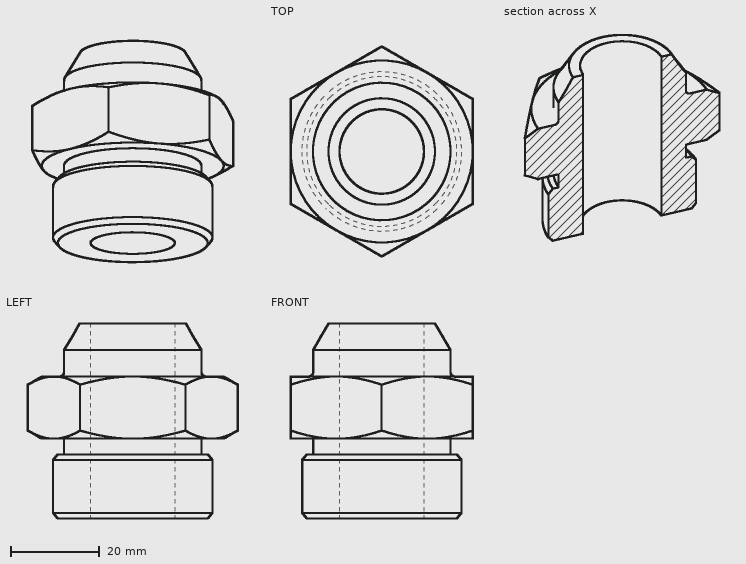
import cadquery as cq
import math

hex_corners = 47.35
bore_diameter = 19.0
neck_diameter = 31.0
thread_diameter = 36.0
tip_diameter = 24.0

thread_top = 14.5
hex_bottom = 18.0
hex_top = 32.0
cone_start = 37.95
total_height = 44.0

thread_chamfer_width = 1.1
thread_chamfer_height = 1.3
neck_fillet = 1.0
hex_chamfer_angle = 30.0

hex_flats = hex_corners * math.cos(math.radians(30))
hex_height = hex_top - hex_bottom
neck_radius = neck_diameter / 2
thread_radius = thread_diameter / 2


def chamfered_hexagon():
    """Hexagon with corners on the Y axis, both ends turned to a cone."""
    prism = (
        cq.Workplane("XY")
        .workplane(offset=hex_bottom)
        .polygon(6, hex_corners)
        .extrude(hex_height)
        .rotate((0, 0, 0), (0, 0, 1), 30)
    )
    face_radius = hex_flats / 2
    corner_radius = hex_corners / 2
    drop = (corner_radius - face_radius) * math.tan(math.radians(hex_chamfer_angle))
    turned_envelope = (
        cq.Workplane("XZ")
        .moveTo(0, hex_bottom)
        .lineTo(face_radius, hex_bottom)
        .lineTo(corner_radius, hex_bottom + drop)
        .lineTo(corner_radius, hex_top - drop)
        .lineTo(face_radius, hex_top)
        .lineTo(0, hex_top)
        .close()
        .revolve(360, (0, 0, 0), (0, 1, 0))
    )
    return prism.intersect(turned_envelope)


def turned_body():
    """Chamfered thread cylinder, relief neck, filleted upper neck and conical tip."""
    chamfer_radius = thread_radius - thread_chamfer_width
    fillet_centre_radius = neck_radius + neck_fillet
    fillet_centre_height = hex_top + neck_fillet
    fillet_offset = neck_fillet * math.sqrt(0.5)
    return (
        cq.Workplane("XZ")
        .lineTo(chamfer_radius, 0)
        .lineTo(thread_radius, thread_chamfer_height)
        .lineTo(thread_radius, thread_top - thread_chamfer_height)
        .lineTo(chamfer_radius, thread_top)
        .lineTo(neck_radius, thread_top)
        .lineTo(neck_radius, hex_bottom)
        .lineTo(fillet_centre_radius, hex_bottom)
        .lineTo(fillet_centre_radius, hex_top)
        .threePointArc(
            (fillet_centre_radius - fillet_offset, fillet_centre_height - fillet_offset),
            (neck_radius, fillet_centre_height),
        )
        .lineTo(neck_radius, cone_start)
        .lineTo(tip_diameter / 2, total_height)
        .lineTo(0, total_height)
        .close()
        .revolve(360, (0, 0, 0), (0, 1, 0))
    )


through_bore = cq.Workplane("XY").circle(bore_diameter / 2).extrude(total_height)

result = turned_body().union(chamfered_hexagon()).cut(through_bore)